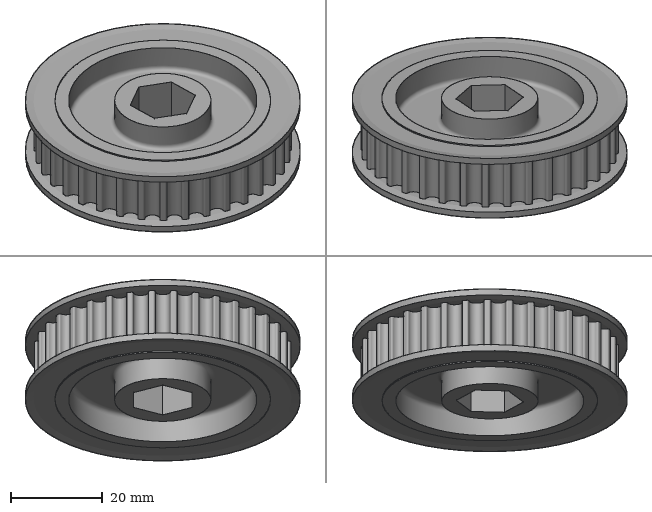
import cadquery as cq
import math


flange_radius = 30.0
width = 14.5
half_width = width / 2

tooth_count = 36
track_radius = 28.1
groove_width = 3.3
groove_depth = 2.05
groove_corner_radius = 1.5
tooth_tip_round = 0.4

flange_thickness = 1.45
flange_bend_radius = 28.15
flange_rim_rise = 0.3
flange_seat_radius = 23.5
flange_outer_face = half_width - flange_rim_rise
flange_inner_face = flange_outer_face - flange_thickness

pocket_radius = 20.5
hub_radius = 10.5
web_thickness = 3.0
pocket_fillet = 1.0
hex_across_flats = 12.7


def turned(point, angle):
    """Turn a 2D point about the axis by an angle in degrees."""
    x, y = point
    cosine = math.cos(math.radians(angle))
    sine = math.sin(math.radians(angle))
    return (x * cosine - y * sine, x * sine + y * cosine)


def mirrored(point):
    """Mirror a 2D point across the X axis."""
    return (point[0], -point[1])


def belt_track():
    """Toothed disc between the flanges, with one groove centered on the +X axis."""
    flank_y = groove_width / 2
    floor_x = track_radius - groove_depth

    corner_x = floor_x + groove_corner_radius
    corner_y = flank_y - groove_corner_radius
    corner_reach = groove_corner_radius * math.sqrt(0.5)
    floor_end = (floor_x, corner_y)
    corner_middle = (corner_x - corner_reach, corner_y + corner_reach)
    flank_start = (corner_x, flank_y)

    tip_y = flank_y + tooth_tip_round
    tip_x = math.sqrt((track_radius - tooth_tip_round) ** 2 - tip_y**2)
    land_angle = math.atan2(tip_y, tip_x)
    tip_middle_angle = (land_angle - math.pi / 2) / 2
    flank_end = (tip_x, flank_y)
    tip_middle = (
        tip_x + tooth_tip_round * math.cos(tip_middle_angle),
        tip_y + tooth_tip_round * math.sin(tip_middle_angle),
    )
    land_start = (track_radius * math.cos(land_angle), track_radius * math.sin(land_angle))

    pitch_angle = 360 / tooth_count
    land_middle = turned((track_radius, 0), pitch_angle / 2)
    next_land_end = turned(mirrored(land_start), pitch_angle)

    outline = cq.Workplane("XY").workplane(offset=-flange_inner_face).moveTo(*mirrored(land_start))
    for index in range(tooth_count):
        angle = index * pitch_angle
        outline = (
            outline.threePointArc(turned(mirrored(tip_middle), angle), turned(mirrored(flank_end), angle))
            .lineTo(*turned(mirrored(flank_start), angle))
            .threePointArc(turned(mirrored(corner_middle), angle), turned(mirrored(floor_end), angle))
            .lineTo(*turned(floor_end, angle))
            .threePointArc(turned(corner_middle, angle), turned(flank_start, angle))
            .lineTo(*turned(flank_end, angle))
            .threePointArc(turned(tip_middle, angle), turned(land_start, angle))
            .threePointArc(turned(land_middle, angle), turned(next_land_end, angle))
        )
    return outline.close().extrude(2 * flange_inner_face)


def upper_flange():
    """Flat ring with its rim bent upwards."""
    return (
        cq.Workplane("XZ")
        .moveTo(flange_seat_radius, flange_inner_face)
        .lineTo(flange_bend_radius, flange_inner_face)
        .lineTo(flange_radius, flange_inner_face + flange_rim_rise)
        .lineTo(flange_radius, half_width)
        .lineTo(flange_bend_radius, flange_outer_face)
        .lineTo(flange_seat_radius, flange_outer_face)
        .close()
        .revolve(360, (0, 0, 0), (0, 1, 0))
    )


def core():
    """Full-width disc that carries the flanges."""
    return cq.Workplane("XY").circle(flange_seat_radius).extrude(half_width, both=True)


def upper_pocket():
    """Ring-shaped pocket around the hub, rounded along its floor."""
    return (
        cq.Workplane("XY")
        .workplane(offset=web_thickness / 2)
        .circle(pocket_radius)
        .circle(hub_radius)
        .extrude(half_width)
        .faces("<Z")
        .edges()
        .fillet(pocket_fillet)
    )


def hex_bore():
    """Hexagonal through bore with two corners on the X axis."""
    corner_diameter = hex_across_flats / math.cos(math.pi / 6)
    return cq.Workplane("XY").polygon(6, corner_diameter).extrude(width, both=True)


flange = upper_flange()
pocket = upper_pocket()
result = (
    belt_track()
    .union(core())
    .union(flange)
    .union(flange.mirror("XY"))
    .cut(pocket)
    .cut(pocket.mirror("XY"))
    .cut(hex_bore())
)